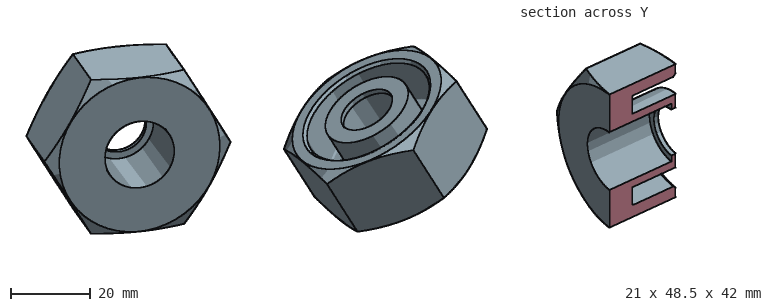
import cadquery as cq
import math

across_corners = 48.5
thickness = 21.0
face_radius = 20.9
corner_chamfer_angle = 30.0

pocket_radius = 17.15
pocket_mouth_radius = 17.95
pocket_depth = 13.7
floor_fillet = 0.45
boss_radius = 11.65

lip_radius = 7.2
lip_length = 1.4
bore_radius = 9.0


def hexagon_body():
    """Hexagonal prism with its corners on the Y axis."""
    return cq.Workplane("YZ").polygon(6, across_corners).extrude(thickness)


def corner_cone_envelope():
    """Solid of revolution that trims the hexagon corners on both faces."""
    corner_radius = across_corners / 2
    chamfer_length = (corner_radius - face_radius) * math.tan(math.radians(corner_chamfer_angle))
    profile = [
        (0, 0),
        (0, face_radius),
        (chamfer_length, corner_radius),
        (thickness - chamfer_length, corner_radius),
        (thickness, face_radius),
        (thickness, 0),
    ]
    return cq.Workplane("XY").polyline(profile).close().revolve(360, (0, 0, 0), (1, 0, 0))


def pocket():
    """Round pocket with a 45 degree mouth and a rounded floor edge."""
    mouth_depth = pocket_mouth_radius - pocket_radius
    cylinder = cq.Workplane("YZ").circle(pocket_radius).extrude(pocket_depth)
    cylinder = cylinder.faces(">X").edges().fillet(floor_fillet)
    mouth = cq.Solid.makeCone(
        pocket_mouth_radius, pocket_radius, mouth_depth, cq.Vector(0, 0, 0), cq.Vector(1, 0, 0)
    )
    return cylinder.union(cq.Workplane(mouth))


def boss():
    """Central boss standing on the pocket floor."""
    return cq.Workplane("YZ").circle(boss_radius).extrude(thickness)


def stepped_bore():
    """Narrow opening at the lip followed by the wider bore out of the +X face."""
    lip_opening = cq.Workplane("YZ").circle(lip_radius).extrude(thickness)
    wide_bore = cq.Workplane("YZ", origin=(lip_length, 0, 0)).circle(bore_radius)
    wide_bore = wide_bore.extrude(thickness - lip_length)
    return lip_opening.union(wide_bore)


body = hexagon_body().intersect(corner_cone_envelope())
result = body.cut(pocket()).union(boss()).cut(stepped_bore())